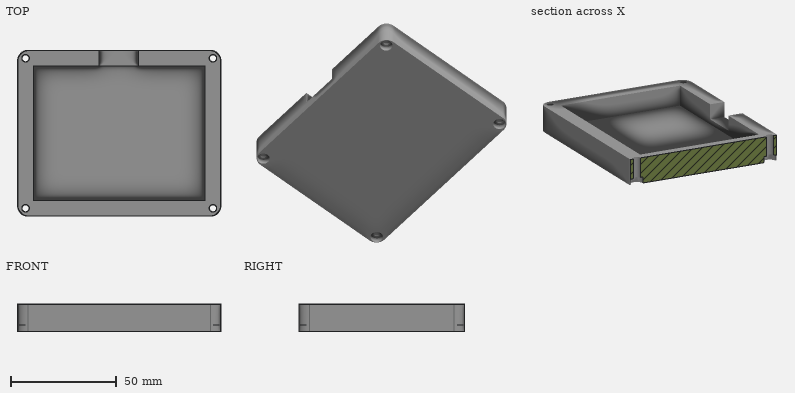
import cadquery as cq

length = 96.0
width = 78.3
height = 13.0
corner_radius = 5.0

wall = 7.5
floor_thickness = 3.0

notch_width = 18.5
notch_depth = 7.5
notch_offset = -0.24

hole_inset = wall / 2
hole_diameter = 3.4
head_diameter = 6.0
head_depth = 3.0


def make_body():
    """Solid block with rounded vertical corners, standing on Z = 0."""
    block = cq.Workplane("XY").box(length, width, height, centered=(True, True, False))
    return block.edges("|Z").fillet(corner_radius)


def make_pocket():
    """Rectangular cavity that leaves an even wall and a floor."""
    return (
        cq.Workplane("XY")
        .workplane(offset=floor_thickness)
        .rect(length - 2 * wall, width - 2 * wall)
        .extrude(height - floor_thickness)
    )


def make_notch():
    """Rectangular opening in the top of the +Y wall, from pocket to outside."""
    return (
        cq.Workplane("XY")
        .workplane(offset=height - notch_depth)
        .center(notch_offset, (width - wall) / 2)
        .rect(notch_width, wall)
        .extrude(notch_depth)
    )


def make_corner_cylinders(diameter, depth):
    """One cylinder per corner, rising from the underside."""
    return (
        cq.Workplane("XY")
        .rect(length - 2 * hole_inset, width - 2 * hole_inset, forConstruction=True)
        .vertices()
        .circle(diameter / 2)
        .extrude(depth)
    )


result = (
    make_body()
    .cut(make_pocket())
    .cut(make_notch())
    .cut(make_corner_cylinders(hole_diameter, height))
    .cut(make_corner_cylinders(head_diameter, head_depth))
)